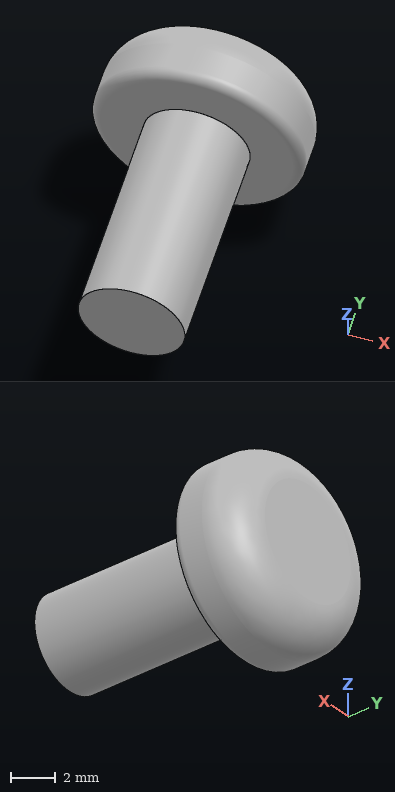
import cadquery as cq

total_length = 13.8
head_diameter = 10.0
head_height = 3.8
shank_diameter = 5.0
crown_radius = 2.0
underside_radius = 0.5

shank_length = total_length - head_height


def make_head():
    """Disc from y = 0 to +Y with both rims rounded."""
    disc = cq.Workplane("XZ").circle(head_diameter / 2).extrude(-head_height)
    crowned = disc.faces(">Y").edges().fillet(crown_radius)
    return crowned.faces("<Y").edges().fillet(underside_radius)


def make_shank():
    """Plain cylinder from the head underside toward -Y."""
    return cq.Workplane("XZ").circle(shank_diameter / 2).extrude(shank_length)


result = make_head().union(make_shank())